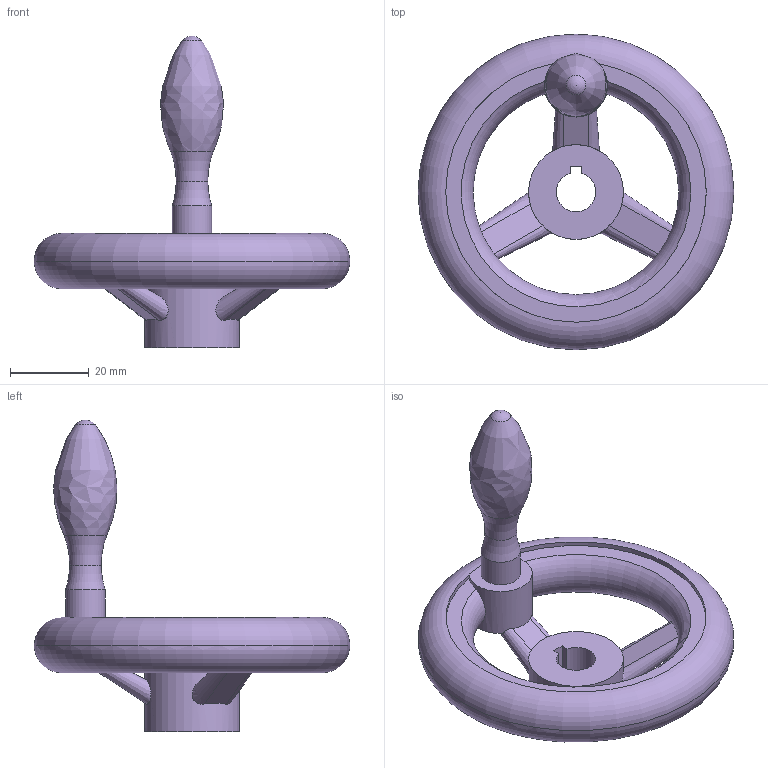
import cadquery as cq
import math

HUB_RADIUS = 12.0
HUB_HEIGHT = 16.0
BORE_RADIUS = 5.0
KEYWAY_WIDTH = 3.0
KEYWAY_REACH = 6.5

RIM_OUTER_RADIUS = 40.0
RIM_SECTION_RADIUS = 7.0
RIM_MID_Z = 22.0
RIM_STEP_DEPTH = 1.2
RIM_CENTRE_RADIUS = RIM_OUTER_RADIUS - RIM_SECTION_RADIUS
RIM_TOP_Z = RIM_MID_Z + RIM_SECTION_RADIUS

SPOKE_COUNT = 3
FIRST_SPOKE_ANGLE = 90.0
SPOKE_FLAT_WIDTH = 6.4
SPOKE_START_RADIUS = 9.0
SPOKE_START_Z = 8.75
SPOKE_START_THICKNESS = 5.7
SPOKE_END_RADIUS = 31.0
SPOKE_END_Z = 21.4
SPOKE_END_THICKNESS = 2.5

HANDLE_Y = 27.0
BOSS_RADIUS = 8.0
BOSS_BOTTOM_Z = HUB_HEIGHT

STEM_RADIUS = 5.0
STEM_TOP_Z = 36.0
NECK_RADIUS = 4.0
NECK_Z = 42.1
GRIP_START_RADIUS = 5.4
GRIP_START_Z = 49.8
GRIP_MAX_RADIUS = 8.0
GRIP_WIDEST_Z = 61.5
TIP_RADIUS = 2.5
TIP_Z = 77.8
HANDLE_TOP_Z = 78.99
NECK_FLARE_RADIUS = 20.0
TIP_HEIGHT = HANDLE_TOP_Z - TIP_Z
TIP_DOME_RADIUS = (TIP_RADIUS**2 + TIP_HEIGHT**2) / (2 * TIP_HEIGHT)


def cylinder(radius, bottom_z, top_z, y=0.0):
    """Upright cylinder with its axis at x = 0 and the given y."""
    base = cq.Workplane("XY", origin=(0, y, bottom_z))
    return base.circle(radius).extrude(top_z - bottom_z)


def make_rim():
    """Torus whose top is stepped down everywhere inside its crest circle."""
    ring = cq.Workplane(cq.Solid.makeTorus(RIM_CENTRE_RADIUS, RIM_SECTION_RADIUS))
    ring = ring.translate((0, 0, RIM_MID_Z))
    step = cylinder(RIM_CENTRE_RADIUS, RIM_TOP_Z - RIM_STEP_DEPTH, RIM_TOP_Z)
    return ring.cut(step)


def make_spoke(angle):
    """Spoke lofted along +X between two slot sections, then turned to its angle."""
    run = SPOKE_END_RADIUS - SPOKE_START_RADIUS
    rise = SPOKE_END_Z - SPOKE_START_Z
    start_plane = cq.Plane(
        origin=(SPOKE_START_RADIUS, 0, SPOKE_START_Z),
        xDir=(0, 1, 0),
        normal=(run, 0, rise),
    )
    spoke = (
        cq.Workplane(start_plane)
        .slot2D(SPOKE_FLAT_WIDTH + SPOKE_START_THICKNESS, SPOKE_START_THICKNESS)
        .workplane(offset=math.hypot(run, rise))
        .slot2D(SPOKE_FLAT_WIDTH + SPOKE_END_THICKNESS, SPOKE_END_THICKNESS)
        .loft(ruled=True)
    )
    return spoke.rotate((0, 0, 0), (0, 0, 1), angle)


def make_boss():
    """Boss trimmed where it would pass the crest of the rim."""
    boss = cylinder(BOSS_RADIUS, BOSS_BOTTOM_Z, RIM_TOP_Z, HANDLE_Y)
    return boss.intersect(cylinder(RIM_CENTRE_RADIUS, BOSS_BOTTOM_Z, RIM_TOP_Z))


def make_handle():
    """Handle turned about its own axis, standing on top of the boss."""
    profile = (
        cq.Workplane("YZ", origin=(0, HANDLE_Y, 0))
        .moveTo(0, RIM_TOP_Z)
        .lineTo(-STEM_RADIUS, RIM_TOP_Z)
        .lineTo(-STEM_RADIUS, STEM_TOP_Z)
        .radiusArc((-NECK_RADIUS, NECK_Z), -NECK_FLARE_RADIUS)
        .radiusArc((-GRIP_START_RADIUS, GRIP_START_Z), -NECK_FLARE_RADIUS)
        .threePointArc((-GRIP_MAX_RADIUS, GRIP_WIDEST_Z), (-TIP_RADIUS, TIP_Z))
        .radiusArc((0, HANDLE_TOP_Z), TIP_DOME_RADIUS)
        .close()
    )
    return profile.revolve(360, (0, 0, 0), (0, 1, 0))


def make_keyed_bore():
    """Bore and its keyway on the +Y side, through the full hub height."""
    keyway = cq.Workplane("XY").center(0, KEYWAY_REACH / 2)
    keyway = keyway.rect(KEYWAY_WIDTH, KEYWAY_REACH).extrude(HUB_HEIGHT)
    return cylinder(BORE_RADIUS, 0, HUB_HEIGHT).union(keyway)


result = make_rim().union(cylinder(HUB_RADIUS, 0, HUB_HEIGHT))
for spoke_index in range(SPOKE_COUNT):
    spoke_angle = FIRST_SPOKE_ANGLE + spoke_index * 360.0 / SPOKE_COUNT
    result = result.union(make_spoke(spoke_angle))
result = result.union(make_boss()).union(make_handle())
result = result.cut(make_keyed_bore())